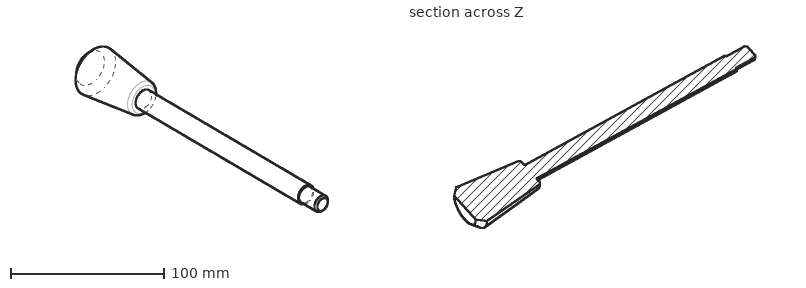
import cadquery as cq

total_length = 229.0
knob_length = 52.7
face_chamfer_length = 5.3
neck_fillet = 2.3
pin_length = 16.5
pin_chamfer = 1.4

knob_diameter = 35.0
face_diameter = 24.7
neck_diameter = 24.0
rod_diameter = 14.0
pin_diameter = 12.0

face_x = -total_length / 2
knob_end_x = face_x + knob_length
rod_end_x = total_length / 2 - pin_length


def cylinder(start_x, length, diameter):
    """Solid round bar along +X."""
    return cq.Workplane("YZ", origin=(start_x, 0, 0)).circle(diameter / 2).extrude(length)


def make_knob():
    """Tapered grip with a chamfered end face and a rounded neck edge."""
    return (
        cq.Workplane("XY")
        .moveTo(face_x, 0)
        .lineTo(face_x, face_diameter / 2)
        .lineTo(face_x + face_chamfer_length, knob_diameter / 2)
        .lineTo(knob_end_x, neck_diameter / 2)
        .lineTo(knob_end_x, 0)
        .close()
        .revolve(360, (0, 0, 0), (1, 0, 0))
        .faces(">X")
        .edges()
        .fillet(neck_fillet)
    )


knob = make_knob()
rod = cylinder(knob_end_x, rod_end_x - knob_end_x, rod_diameter)
pin = cylinder(rod_end_x, pin_length, pin_diameter).faces(">X").chamfer(pin_chamfer)

result = knob.union(rod).union(pin)